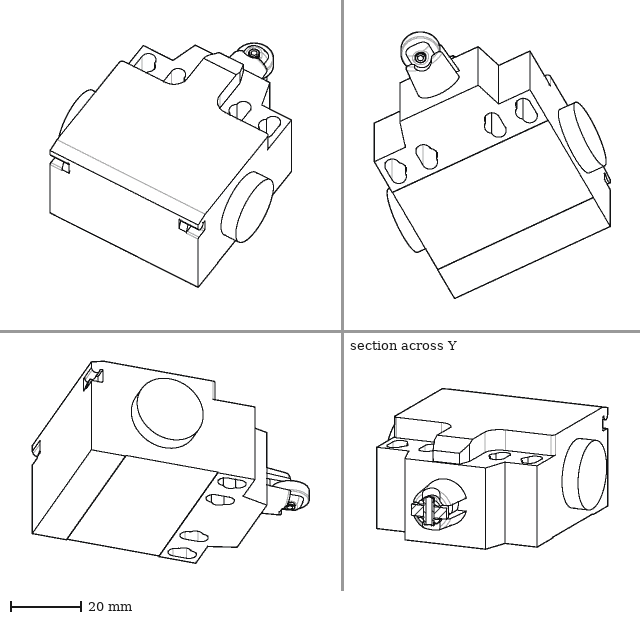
import cadquery as cq

OVERALL_LENGTH = 74.5

HOUSING_WIDTH = 50.0
HOUSING_HEIGHT = 30.0
SHOULDER_Y = 49.5
NOSE_Y = 57.5
NOSE_BASE_HALF_WIDTH = 15.0
NOSE_TIP_HALF_WIDTH = 12.6
DECK_Z = 24.0
SIDE_X = HOUSING_WIDTH / 2

COVER_BACK_Y = 37.7
COVER_CORNER_RADIUS = 1.0
NECK_HALF_WIDTH = 5.5
NECK_FILLET_RADIUS = 4.5
NECK_TAPER_Y = 52.8
NECK_TIP_Y = 56.85
NECK_TIP_HALF_WIDTH = 4.1
NECK_SLOPE_Y = 50.8
NECK_TIP_Z = 27.2
FRONT_SLOPE_LENGTH = 3.7
FRONT_SLOPE_DROP = 1.0

RELIEF_FRONT_Y = 10.4
RELIEF_BACK_Y = 38.3
RELIEF_DEPTH = 0.2

ENTRY_RADIUS = 10.0
ENTRY_LENGTH = 5.0
ENTRY_Y = 22.05
ENTRY_Z = 15.05

SLOT_WIDTH = 4.3
SLOT_LENGTH = 8.3
SLOT_Y = 43.95
SLOT_INNER_X = 11.0
SLOT_OUTER_X = 21.0
SLOT_BULGE_OFFSET = 1.05

NOTCH_FLOOR_Z = 22.95
NOTCH_CEILING_Z = 27.1
NOTCH_DEPTH = 3.5
NOTCH_WIDTH = 4.0
NOTCH_FILLET = 0.45
RAMP_WIDTH = 6.5
RAMP_TOP_DEPTH = 1.6
LUG_WIDTH = 6.0
LUG_NOSE_DEPTH = 0.3
LUG_NOSE_Z = 26.45
LUG_LOW_DEPTH = 1.5
LUG_LOW_Z = 25.8
LUG_BACK_DEPTH = 2.7

AXIS_Z = 12.5
GUIDE_BASE_RADIUS = 6.85
GUIDE_TIP_RADIUS = 6.0
GUIDE_TIP_Y = 67.4
GUIDE_LIP_FILLET = 0.9
PIN_ACCESS_RADIUS = 3.1
ROLLER_SLOT_WIDTH = 3.9

PLUNGER_RADIUS = 4.1
PLUNGER_TIP_Y = 72.5
PLUNGER_TIP_FILLET = 2.0
PLUNGER_SLOT_FLOOR_Y = 61.5
PIN_HOLE_FILLET = 0.5

ROLLER_RADIUS = 5.6
ROLLER_THICKNESS = 3.4
ROLLER_EDGE_FILLET = 0.3
ROLLER_Y = OVERALL_LENGTH - ROLLER_RADIUS
PIN_RADIUS = 1.6
PIN_BORE_RADIUS = 0.8
PIN_LENGTH = 8.1
PIN_END_CHAMFER = 0.185


def cylinder_y(radius, start_y, end_y):
    """Cylinder on the plunger axis."""
    axis_plane = cq.Workplane("XZ", origin=(0, start_y, AXIS_Z))
    return axis_plane.circle(radius).extrude(start_y - end_y)


def cylinder_z(radius, length):
    """Vertical cylinder on the roller axis, centred on the plunger axis."""
    return cq.Workplane("XY", origin=(0, ROLLER_Y, AXIS_Z - length / 2)).circle(radius).extrude(length)


def roller_slot(floor_y):
    """Gap for the roller, open toward +Y."""
    width = 2 * GUIDE_BASE_RADIUS
    length = OVERALL_LENGTH - floor_y
    return cq.Workplane("XY").box(width, length, ROLLER_SLOT_WIDTH).translate(
        (0, floor_y + length / 2, AXIS_Z))


def base_block():
    return (
        cq.Workplane("XY")
        .moveTo(-SIDE_X, 0)
        .lineTo(SIDE_X, 0)
        .lineTo(SIDE_X, SHOULDER_Y)
        .lineTo(NOSE_BASE_HALF_WIDTH, SHOULDER_Y)
        .lineTo(NOSE_TIP_HALF_WIDTH, NOSE_Y)
        .lineTo(-NOSE_TIP_HALF_WIDTH, NOSE_Y)
        .lineTo(-NOSE_BASE_HALF_WIDTH, SHOULDER_Y)
        .lineTo(-SIDE_X, SHOULDER_Y)
        .close()
        .extrude(DECK_Z)
    )


def cover():
    """Raised T-shaped top, trimmed by the slopes at its front and at its neck."""
    outline = (
        cq.Workplane("XY")
        .moveTo(-SIDE_X, 0)
        .lineTo(SIDE_X, 0)
        .lineTo(SIDE_X, COVER_BACK_Y)
        .lineTo(NECK_HALF_WIDTH, COVER_BACK_Y)
        .lineTo(NECK_HALF_WIDTH, NECK_TAPER_Y)
        .lineTo(NECK_TIP_HALF_WIDTH, NECK_TIP_Y)
        .lineTo(-NECK_TIP_HALF_WIDTH, NECK_TIP_Y)
        .lineTo(-NECK_HALF_WIDTH, NECK_TAPER_Y)
        .lineTo(-NECK_HALF_WIDTH, COVER_BACK_Y)
        .lineTo(-SIDE_X, COVER_BACK_Y)
        .close()
        .extrude(HOUSING_HEIGHT)
    )
    neck_corners = [(x, COVER_BACK_Y, HOUSING_HEIGHT / 2) for x in (-NECK_HALF_WIDTH, NECK_HALF_WIDTH)]
    side_corners = [(x, COVER_BACK_Y, HOUSING_HEIGHT / 2) for x in (-SIDE_X, SIDE_X)]
    for corners, radius in ((neck_corners, NECK_FILLET_RADIUS), (side_corners, COVER_CORNER_RADIUS)):
        for corner in corners:
            outline = outline.edges(cq.selectors.NearestToPointSelector(corner)).fillet(radius)
    side_profile = (
        cq.Workplane("YZ")
        .moveTo(0, DECK_Z)
        .lineTo(0, HOUSING_HEIGHT - FRONT_SLOPE_DROP)
        .lineTo(FRONT_SLOPE_LENGTH, HOUSING_HEIGHT)
        .lineTo(NECK_SLOPE_Y, HOUSING_HEIGHT)
        .lineTo(NECK_TIP_Y, NECK_TIP_Z)
        .lineTo(NECK_TIP_Y, DECK_Z)
        .close()
        .extrude(SIDE_X, both=True)
    )
    return outline.intersect(side_profile)


def cable_entries():
    return (
        cq.Workplane("YZ")
        .center(ENTRY_Y, ENTRY_Z)
        .circle(ENTRY_RADIUS)
        .extrude(SIDE_X + ENTRY_LENGTH, both=True)
    )


def underside_relief():
    length = RELIEF_BACK_Y - RELIEF_FRONT_Y
    relief = cq.Workplane("XY").box(HOUSING_WIDTH, length, RELIEF_DEPTH, centered=(True, False, False))
    return relief.translate((0, RELIEF_FRONT_Y, 0))


def mounting_slots():
    cutter = cq.Workplane("XY")
    for side in (-1, 1):
        for distance in (SLOT_INNER_X, SLOT_OUTER_X):
            slot = cq.Workplane("XY").center(side * distance, SLOT_Y).slot2D(SLOT_LENGTH, SLOT_WIDTH, 90)
            bulge_x = side * (distance - SLOT_BULGE_OFFSET)
            bulge = cq.Workplane("XY").center(bulge_x, SLOT_Y).circle(SLOT_WIDTH / 2)
            cutter = cutter.add(slot.extrude(DECK_Z)).add(bulge.extrude(DECK_Z))
    return cutter.combine()


def release_notch():
    """Cutter for the notch in the -X front corner."""
    corner_plane = cq.Workplane("YZ", origin=(-SIDE_X, 0, 0))
    notch = (
        corner_plane
        .moveTo(0, NOTCH_CEILING_Z)
        .lineTo(NOTCH_DEPTH, NOTCH_CEILING_Z)
        .lineTo(NOTCH_DEPTH, NOTCH_FLOOR_Z + NOTCH_FILLET)
        .radiusArc((NOTCH_DEPTH - NOTCH_FILLET, NOTCH_FLOOR_Z), NOTCH_FILLET)
        .lineTo(NOTCH_FILLET, NOTCH_FLOOR_Z)
        .radiusArc((0, NOTCH_FLOOR_Z - NOTCH_FILLET), -NOTCH_FILLET)
        .close()
        .extrude(NOTCH_WIDTH)
    )
    ramp = (
        corner_plane
        .moveTo(0, NOTCH_FLOOR_Z)
        .lineTo(RAMP_TOP_DEPTH, NOTCH_CEILING_Z)
        .lineTo(0, NOTCH_CEILING_Z)
        .close()
        .extrude(RAMP_WIDTH)
    )
    lug = (
        corner_plane
        .moveTo(0, NOTCH_CEILING_Z)
        .lineTo(LUG_NOSE_DEPTH, LUG_NOSE_Z)
        .threePointArc((LUG_LOW_DEPTH, LUG_LOW_Z), (LUG_BACK_DEPTH, NOTCH_CEILING_Z))
        .close()
        .extrude(LUG_WIDTH)
    )
    return notch.union(ramp).cut(lug)


def plunger_guide():
    """Slotted cone with a rounded lip and a clearance cut for the pin."""
    cone = (
        cq.Workplane("XY")
        .moveTo(0, NOSE_Y)
        .lineTo(GUIDE_BASE_RADIUS, NOSE_Y)
        .lineTo(GUIDE_TIP_RADIUS, GUIDE_TIP_Y)
        .lineTo(0, GUIDE_TIP_Y)
        .close()
        .revolve(360, (0, 0, 0), (0, 1, 0))
        .faces(">Y")
        .edges()
        .fillet(GUIDE_LIP_FILLET)
        .translate((0, 0, AXIS_Z))
    )
    bore = cylinder_y(PLUNGER_RADIUS, NOSE_Y, GUIDE_TIP_Y)
    pin_access = cylinder_z(PIN_ACCESS_RADIUS, 2 * GUIDE_BASE_RADIUS)
    return cone.cut(bore).cut(roller_slot(NOSE_Y)).cut(pin_access)


def make_housing():
    notch = release_notch()
    return (
        base_block()
        .union(cover())
        .union(cable_entries())
        .cut(underside_relief())
        .cut(mounting_slots())
        .cut(notch)
        .cut(notch.mirror("YZ"))
        .union(plunger_guide())
    )


def make_plunger():
    """Domed, slotted rod with a cross hole for the pin, rounded at both mouths."""
    rod = cylinder_y(PLUNGER_RADIUS, NOSE_Y, PLUNGER_TIP_Y).faces(">Y").edges().fillet(PLUNGER_TIP_FILLET)
    pin_hole = cylinder_z(PIN_RADIUS, 2 * PLUNGER_RADIUS)
    rod = rod.cut(pin_hole)
    for mouth_z in (AXIS_Z - PLUNGER_RADIUS, AXIS_Z + PLUNGER_RADIUS):
        mouth = (PIN_RADIUS, ROLLER_Y, mouth_z)
        rod = rod.edges(cq.selectors.NearestToPointSelector(mouth)).fillet(PIN_HOLE_FILLET)
    return rod.cut(roller_slot(PLUNGER_SLOT_FLOOR_Y))


def make_roller():
    disc = cylinder_z(ROLLER_RADIUS, ROLLER_THICKNESS).faces("|Z").edges().fillet(ROLLER_EDGE_FILLET)
    return disc.cut(cylinder_z(PIN_RADIUS, ROLLER_THICKNESS))


def make_pin():
    rod = cylinder_z(PIN_RADIUS, PIN_LENGTH).faces("|Z").edges().chamfer(PIN_END_CHAMFER)
    return rod.cut(cylinder_z(PIN_BORE_RADIUS, PIN_LENGTH))


housing = make_housing()
plunger = make_plunger()
roller = make_roller()
pin = make_pin()

result = cq.Compound.makeCompound([housing.val(), plunger.val(), roller.val(), pin.val()])